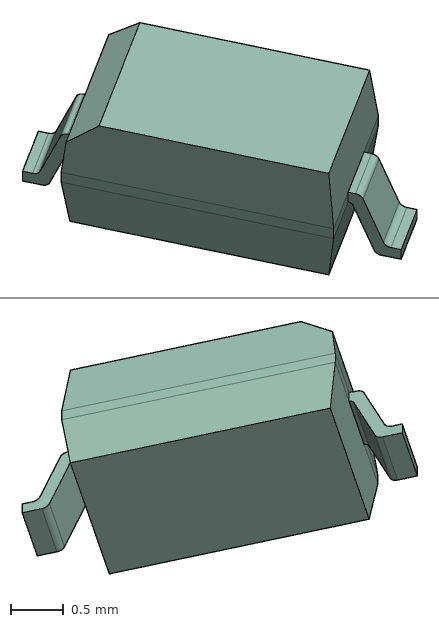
import cadquery as cq
import math

body_length = 2.70
body_width = 1.55
standoff = 0.05
body_height = 1.40
draft_inset = 0.068
end_bevel = 0.289

lead_span = 3.75
lead_width = 0.55
lead_thickness = 0.135
lead_top = 0.775
leg_angle = math.radians(69.5)
foot_length = 0.250
bend_radius = 0.08
body_side_radius = 0.04

band_bottom = lead_top - lead_thickness
body_top = standoff + body_height


def draft_angle(height):
    return math.degrees(math.atan2(draft_inset, height))


def make_body():
    """Straight waist band with drafted halves above and below, bevelled at the -X end."""
    band = (
        cq.Workplane("XY")
        .workplane(offset=band_bottom)
        .rect(body_length, body_width)
        .extrude(lead_thickness)
    )
    upper_height = body_top - lead_top
    upper = (
        cq.Workplane("XY")
        .workplane(offset=lead_top)
        .rect(body_length, body_width)
        .extrude(upper_height, taper=draft_angle(upper_height))
        .faces(">Z")
        .edges("<X")
        .chamfer(end_bevel)
    )
    lower_height = band_bottom - standoff
    lower = (
        cq.Workplane("XY")
        .workplane(offset=band_bottom)
        .rect(body_length, body_width)
        .extrude(-lower_height, taper=draft_angle(lower_height))
    )
    return band.union(upper).union(lower)


def make_lead(side):
    """Gull-wing lead butting against the body end; side is -1 or +1 along X."""
    tip = lead_span / 2
    root = body_length / 2
    run_per_height = 1 / math.tan(leg_angle)
    leg_run = lead_thickness / math.sin(leg_angle)

    heel_x = tip - foot_length
    under_bend_x = heel_x - band_bottom * run_per_height
    instep_x = heel_x + leg_run - lead_thickness * run_per_height
    shoulder_x = heel_x + leg_run - lead_top * run_per_height

    profile = [
        (tip, 0),
        (heel_x, 0),
        (under_bend_x, band_bottom),
        (root, band_bottom),
        (root, lead_top),
        (shoulder_x, lead_top),
        (instep_x, lead_thickness),
        (tip, lead_thickness),
    ]
    lead = (
        cq.Workplane("XZ")
        .polyline([(side * x, z) for x, z in profile])
        .close()
        .extrude(lead_width / 2, both=True)
    )

    def bend_edge(x, z):
        return cq.selectors.NearestToPointSelector((side * x, 0, z))

    for x, z in [(heel_x, 0), (instep_x, lead_thickness), (shoulder_x, lead_top)]:
        lead = lead.edges("|Y").edges(bend_edge(x, z)).fillet(bend_radius)
    return lead.edges("|Y").edges(bend_edge(under_bend_x, band_bottom)).fillet(body_side_radius)


body = make_body()
leads = [make_lead(side) for side in (-1, 1)]

result = cq.Compound.makeCompound([body.val(), *[lead.val() for lead in leads]])